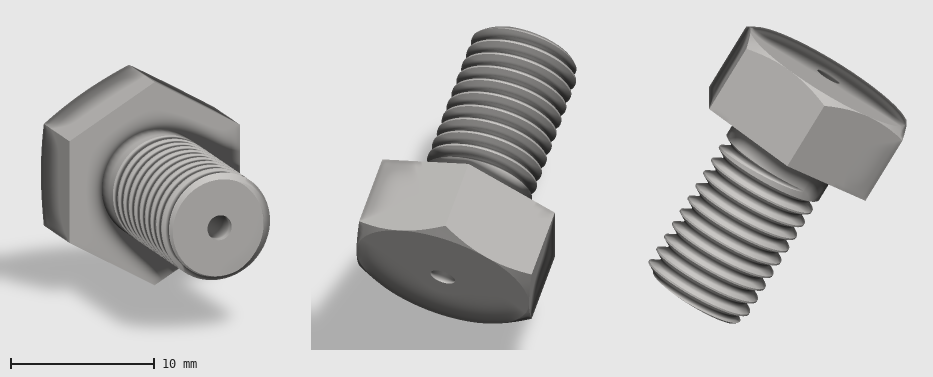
import cadquery as cq
import math

INCH = 25.4

across_flats = 0.5 * INCH
head_height = 0.22 * INCH
across_corners = across_flats / math.cos(math.pi / 6)
head_chamfer_angle = 30.0
corner_overhang = (across_corners - across_flats) / 2
head_chamfer_height = corner_overhang * math.tan(math.radians(head_chamfer_angle))

shank_length = 0.5 * INCH
major_diameter = 7.89
major_radius = major_diameter / 2
tip_chamfer = 0.46
envelope_margin = 1.0
envelope_radius = major_radius + envelope_margin
envelope_chamfer = tip_chamfer + envelope_margin

threads_per_inch = 24
pitch = INCH / threads_per_inch
flank_half_angle = math.radians(30)
flank_slope = math.tan(flank_half_angle)
sharp_height = pitch / 2 / flank_slope
crest_flat = pitch / 8
root_radius = sharp_height / 6
apex_depth = (pitch - crest_flat) / 2 / flank_slope
root_center_height = root_radius / math.sin(flank_half_angle)
thread_depth = apex_depth - root_center_height + root_radius
full_depth_turns = 10
tip_overrun_turns = 1
runout_angle = 127.0
cut_clearance = 0.04

bore_diameter = 1.8


def make_head():
    """Hexagonal prism with corners on +/-Z and its outer face chamfered to a circle."""
    prism = (
        cq.Workplane("YZ")
        .polygon(6, across_corners)
        .extrude(-head_height)
        .rotate((0, 0, 0), (1, 0, 0), 90)
    )
    flat_radius = across_flats / 2
    corner_radius = across_corners / 2
    chamfer_cone = (
        cq.Workplane("XY")
        .moveTo(-head_height, 0)
        .lineTo(-head_height, flat_radius)
        .lineTo(-head_height + head_chamfer_height, corner_radius)
        .lineTo(0, corner_radius)
        .lineTo(0, 0)
        .close()
        .revolve(360, (0, 0, 0), (1, 0, 0))
    )
    return prism.intersect(chamfer_cone)


def make_blank():
    """Plain cylinder, left long so that the thread groove ends inside it."""
    blank_length = shank_length + (tip_overrun_turns + 1) * pitch
    return cq.Workplane("YZ").circle(major_radius).extrude(blank_length)


def make_tip_envelope():
    """Shank outline at final length, with a 45 degree chamfer at the tip."""
    return cq.Workplane("YZ").circle(envelope_radius).extrude(shank_length).faces(">X").chamfer(envelope_chamfer)


def groove_profile():
    """Round-bottomed V in the XZ plane, opening outwards along +X."""
    apex = major_radius - apex_depth
    outer = major_radius + cut_clearance
    half_mouth = (outer - apex) * flank_slope
    root_center = apex + root_center_height
    tangent_radius = root_center - root_radius * math.sin(flank_half_angle)
    half_root = root_radius * math.cos(flank_half_angle)
    return (
        cq.Workplane("XZ")
        .moveTo(outer, -half_mouth)
        .lineTo(tangent_radius, -half_root)
        .threePointArc((root_center - root_radius, 0), (tangent_radius, half_root))
        .lineTo(outer, half_mouth)
        .close()
    )


def sweep_along(helix):
    """Sweep the groove profile up a helix about Z."""
    return groove_profile().sweep(cq.Workplane(obj=helix), isFrenet=True)


def full_depth_groove():
    """Groove about Z at constant depth, running on past the tip."""
    height = (full_depth_turns + tip_overrun_turns) * pitch
    return sweep_along(cq.Wire.makeHelix(pitch, height, major_radius))


def runout_groove():
    """Groove about Z that continues backwards, its radius growing until it leaves the shank."""
    rise = thread_depth + cut_clearance
    height = runout_angle / 360 * pitch * rise / thread_depth
    cone_angle = math.atan2(rise, height)
    slant = 1 / math.cos(cone_angle)
    helix = cq.Wire.makeHelix(pitch * slant, height * slant, major_radius, angle=math.degrees(cone_angle))
    return sweep_along(helix).rotate((0, 0, 0), (1, 0, 0), 180)


def place_on_shank(groove):
    """Turn a groove built about Z onto the X axis, with its start at +Y."""
    full_depth_start = shank_length - full_depth_turns * pitch
    return (
        groove.rotate((0, 0, 0), (0, 0, 1), 90)
        .rotate((0, 0, 0), (0, 1, 0), 90)
        .translate((full_depth_start, 0, 0))
    )


def make_shank():
    """Cut the full-depth groove and its runout into the blank, then trim the tip."""
    grooved = make_blank().cut(place_on_shank(full_depth_groove()))
    grooved = grooved.cut(place_on_shank(runout_groove()))
    return grooved.intersect(make_tip_envelope())


def make_bore():
    """Rod that clears the axial hole through head and shank."""
    bore_length = head_height + shank_length
    return cq.Workplane("YZ", origin=(-head_height, 0, 0)).circle(bore_diameter / 2).extrude(bore_length)


result = make_head().union(make_shank()).cut(make_bore())